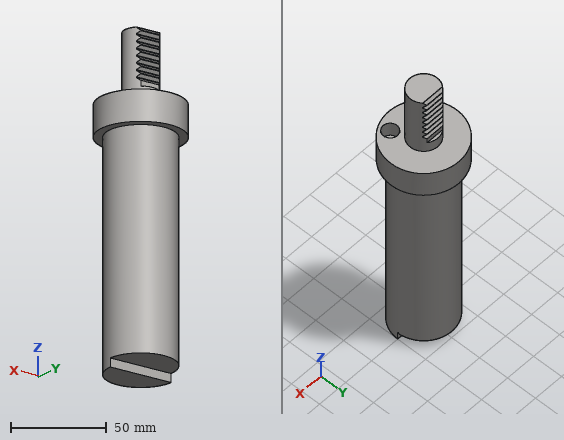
import cadquery as cq
import math

BODY_RADIUS = 20.0
BODY_LENGTH = 132.0
FLANGE_RADIUS = 25.0
FLANGE_THICKNESS = 18.0
SHANK_RADIUS = 10.0
SHANK_LENGTH = 40.0

END_STEP_HEIGHT = 5.0

TOOTH_PITCH = 4.0
TOOTH_COUNT = 7
TOOTH_TIP_Y = 8.0
TOOTH_DEPTH = 1.6
TOOTH_ROOT_Y = TOOTH_TIP_Y - TOOTH_DEPTH
TOOTH_FLAT = TOOTH_PITCH / 2 - TOOTH_DEPTH
RACK_LENGTH = 33.0

HOLE_DIAMETER = 10.0
HOLE_DEPTH = 10.0
HOLE_CIRCLE_RADIUS = 18.0
HOLE_ANGLE = math.radians(-60.0)

FLANGE_TOP = BODY_LENGTH + FLANGE_THICKNESS
TOTAL_LENGTH = FLANGE_TOP + SHANK_LENGTH


def stepped_cylinder():
    """Body, flange and shank stacked along Z."""
    return (
        cq.Workplane("XY")
        .circle(BODY_RADIUS)
        .extrude(BODY_LENGTH)
        .faces(">Z").workplane()
        .circle(FLANGE_RADIUS)
        .extrude(FLANGE_THICKNESS)
        .faces(">Z").workplane()
        .circle(SHANK_RADIUS)
        .extrude(SHANK_LENGTH)
    )


def end_step():
    """Block that shortens the +Y half of the body."""
    return cq.Workplane("XY").box(
        2 * BODY_RADIUS, BODY_RADIUS, END_STEP_HEIGHT, centered=(True, False, False)
    )


def rack_cut():
    """Material outside the tooth profile, drawn in the YZ plane and spanning the shank in X."""
    half_flat = TOOTH_FLAT / 2
    points = [(SHANK_RADIUS, TOTAL_LENGTH), (TOOTH_ROOT_Y, TOTAL_LENGTH)]
    for tooth in range(TOOTH_COUNT):
        root_z = TOTAL_LENGTH - tooth * TOOTH_PITCH
        tip_z = root_z - TOOTH_PITCH / 2
        next_root_z = root_z - TOOTH_PITCH
        points += [
            (TOOTH_ROOT_Y, root_z - half_flat),
            (TOOTH_TIP_Y, tip_z + half_flat),
            (TOOTH_TIP_Y, tip_z - half_flat),
            (TOOTH_ROOT_Y, next_root_z + half_flat),
        ]
    last_root_z = TOTAL_LENGTH - TOOTH_COUNT * TOOTH_PITCH
    shoulder_z = TOTAL_LENGTH - RACK_LENGTH
    points += [
        (TOOTH_ROOT_Y, last_root_z - half_flat),
        (TOOTH_TIP_Y, last_root_z - TOOTH_PITCH / 2 + half_flat),
        (TOOTH_TIP_Y, shoulder_z),
        (SHANK_RADIUS, shoulder_z),
    ]
    return cq.Workplane("YZ").polyline(points).close().extrude(SHANK_RADIUS, both=True)


def flange_hole():
    """Flat-bottomed hole sunk into the top face of the flange."""
    center_x = HOLE_CIRCLE_RADIUS * math.cos(HOLE_ANGLE)
    center_y = HOLE_CIRCLE_RADIUS * math.sin(HOLE_ANGLE)
    return (
        cq.Workplane("XY", origin=(center_x, center_y, FLANGE_TOP))
        .circle(HOLE_DIAMETER / 2)
        .extrude(-HOLE_DEPTH)
    )


result = stepped_cylinder().cut(end_step()).cut(rack_cut()).cut(flange_hole())